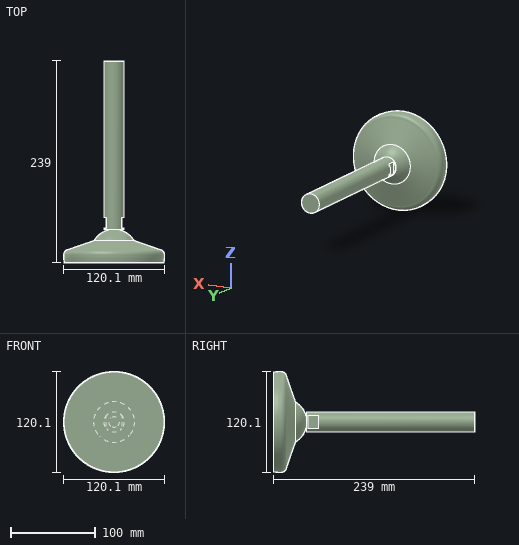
import cadquery as cq
import math

total_length = 239.0

foot_radius = 60.0
sole_radius = 59.3
rim_bottom = 6.0
rim_top = 8.5
shoulder_radius = 53.8
shoulder_height = 16.0
shoulder_bulge = 2.0
cone_top_radius = 24.1
cone_top_height = 26.3

stem_radius = 12.0
stem_start = 39.2
flat_start = 41.0
flat_end = 53.5
across_flats = 18.6

dome_radius = 27.7
dome_center = 12.2
dome_base_height = 27.5
dome_base_radius = math.sqrt(dome_radius**2 - (dome_base_height - dome_center) ** 2)
dome_top_radius = math.sqrt(dome_radius**2 - (stem_start - dome_center) ** 2)
dome_mid_angle = (
    math.atan2(dome_base_height - dome_center, dome_base_radius)
    + math.atan2(stem_start - dome_center, dome_top_radius)
) / 2
dome_mid = (
    dome_radius * math.cos(dome_mid_angle),
    dome_center + dome_radius * math.sin(dome_mid_angle),
)


def make_body():
    """Revolve the half outline of foot, dome and stem about the Y axis."""
    chord_radial = foot_radius - shoulder_radius
    chord_axial = shoulder_height - rim_top
    chord = math.hypot(chord_radial, chord_axial)
    shoulder_mid = (
        (foot_radius + shoulder_radius) / 2 + shoulder_bulge * chord_axial / chord,
        (rim_top + shoulder_height) / 2 + shoulder_bulge * chord_radial / chord,
    )
    outline = (
        cq.Workplane("XY")
        .lineTo(sole_radius, 0)
        .lineTo(foot_radius, rim_bottom)
        .lineTo(foot_radius, rim_top)
        .threePointArc(shoulder_mid, (shoulder_radius, shoulder_height))
        .lineTo(cone_top_radius, cone_top_height)
        .lineTo(dome_base_radius, dome_base_height)
        .threePointArc(dome_mid, (dome_top_radius, stem_start))
        .lineTo(stem_radius, stem_start)
        .lineTo(stem_radius, total_length)
        .lineTo(0, total_length)
        .close()
    )
    return outline.revolve(360, (0, 0, 0), (0, 1, 0))


def make_flat_cutter(side):
    """Block that removes the stem beyond one flat, on the +X or -X side."""
    depth = stem_radius - across_flats / 2
    return cq.Workplane("XY").box(depth, flat_end - flat_start, 2 * stem_radius).translate(
        (side * (across_flats + depth) / 2, (flat_start + flat_end) / 2, 0)
    )


result = make_body()
for side in (-1, 1):
    result = result.cut(make_flat_cutter(side))